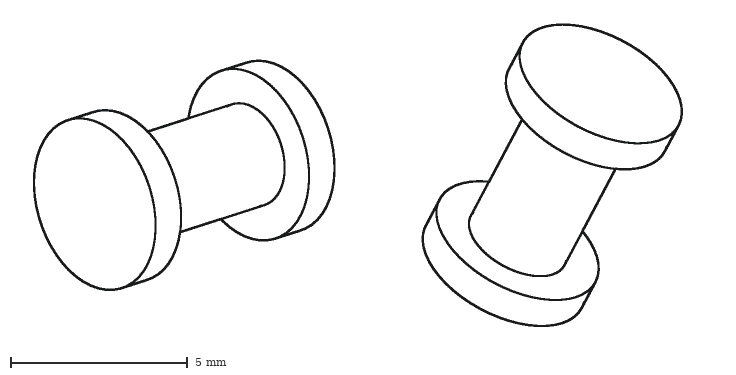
import cadquery as cq

overall_length = 7.0
flange_thickness = overall_length / 7
flange_diameter = 5 * flange_thickness
shaft_diameter = 3 * flange_thickness

half_length = overall_length / 2
flange_inner_face = half_length - flange_thickness
flange_radius = flange_diameter / 2
shaft_radius = shaft_diameter / 2

half_section = [
    (-half_length, 0),
    (-half_length, flange_radius),
    (-flange_inner_face, flange_radius),
    (-flange_inner_face, shaft_radius),
    (flange_inner_face, shaft_radius),
    (flange_inner_face, flange_radius),
    (half_length, flange_radius),
    (half_length, 0),
]

result = (
    cq.Workplane("YZ")
    .polyline(half_section)
    .close()
    .revolve(360, (0, 0), (1, 0))
)